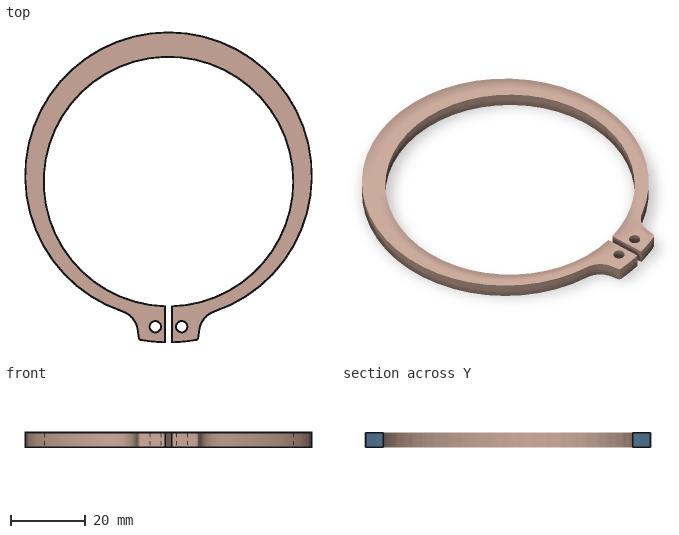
import cadquery as cq
import math

thickness = 4.0
outer_width = 76.7
total_length = 82.95
outer_radius = outer_width / 2
bore_radius = 33.35
bore_offset = 1.6
gap_width = 1.75

lug_reach = total_length - outer_radius
lug_flank_tilt = math.radians(8)
lug_corner_radius = 0.8
neck_radius = 6.0
neck_start_x = 12.3

hole_diameter = 3.0
hole_spacing = 7.05
hole_drop = 40.4

half_gap = gap_width / 2
lug_end_radius = math.hypot(half_gap, lug_reach - bore_offset)


def lug_blank():
    """Both lugs as one solid block, reaching up into the ring."""
    start_angle = math.asin(neck_start_x / outer_radius)
    center_distance = outer_radius + neck_radius
    center_x = center_distance * math.sin(start_angle)
    center_y = -center_distance * math.cos(start_angle)

    def neck_point(angle):
        return (
            center_x - neck_radius * math.cos(angle),
            center_y + neck_radius * math.sin(angle),
        )

    start = math.pi / 2 - start_angle
    right_start = neck_point(start)
    right_middle = neck_point((start + lug_flank_tilt) / 2)
    right_end = neck_point(lug_flank_tilt)

    flank_bottom_y = -(bore_offset + lug_end_radius)
    flank_run = (right_end[1] - flank_bottom_y) * math.tan(lug_flank_tilt)
    flank_bottom_x = right_end[0] - flank_run

    def mirrored(point):
        return (-point[0], point[1])

    block = (
        cq.Workplane("XY")
        .moveTo(0, -bore_offset)
        .lineTo(*right_start)
        .threePointArc(right_middle, right_end)
        .lineTo(flank_bottom_x, flank_bottom_y)
        .lineTo(-flank_bottom_x, flank_bottom_y)
        .lineTo(*mirrored(right_end))
        .threePointArc(mirrored(right_middle), mirrored(right_start))
        .close()
        .extrude(thickness)
    )
    end_disc = cq.Workplane("XY").center(0, -bore_offset).circle(lug_end_radius).extrude(thickness)
    lowest_flank_y = -lug_reach + 2 * lug_corner_radius
    corner_selector = cq.selectors.BoxSelector(
        (-neck_start_x, -lug_reach - lug_corner_radius, 0),
        (neck_start_x, lowest_flank_y, thickness),
    )
    return block.intersect(end_disc).edges("|Z").edges(corner_selector).fillet(lug_corner_radius)


ring = cq.Workplane("XY").circle(outer_radius).extrude(thickness).union(lug_blank())

bore = cq.Workplane("XY").center(0, -bore_offset).circle(bore_radius).extrude(thickness)

gap = cq.Workplane("XY").rect(gap_width, 2 * outer_radius).extrude(thickness)
gap = gap.translate((0, -outer_radius, 0))

plier_holes = (
    cq.Workplane("XY")
    .pushPoints([(side * hole_spacing / 2, -hole_drop) for side in (-1, 1)])
    .circle(hole_diameter / 2)
    .extrude(thickness)
)

result = ring.cut(bore).cut(gap).cut(plier_holes)